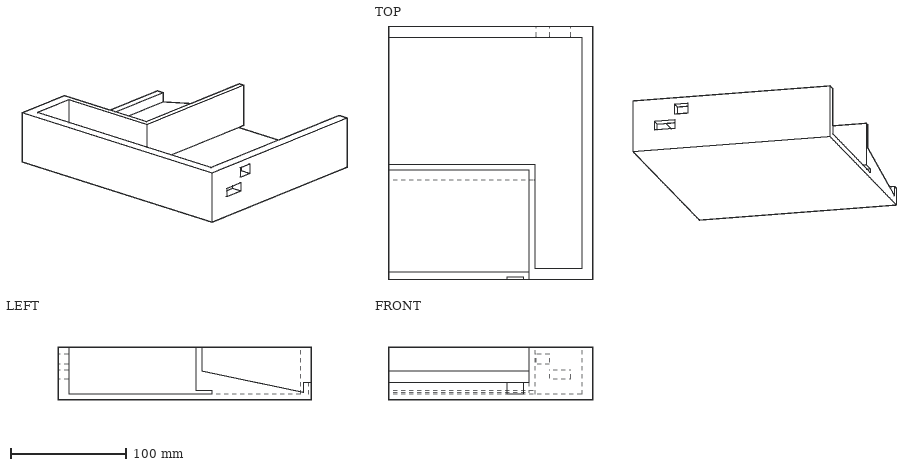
import cadquery as cq

length_x = 177.5
width_y = 220.0
height_z = 46.0

outer_wall = 9.5
floor = 5.0
cavity_end_x = length_x - outer_wall
cavity_end_y = width_y - outer_wall

tray_wall = 5.0
tray_x = 122.0
tray_y = 95.0
tray_outer_x = tray_x + tray_wall
tray_outer_y = tray_y + tray_wall
ramp_high_z = 25.0
ramp_low_z = 6.5
lip_thickness = 6.8
lip_z = 15.2

slot_height = 3.3
slot_front_y = 86.5

notch_start_x = 102.7
notch_width = 14.5
notch_depth = 2.5
notch_bottom_z = floor

upper_opening = (128.0, 31.2, 11.9, 8.8)
lower_opening = (139.7, 18.3, 18.5, 7.7)


def box_between(low, high):
    """Axis-aligned box between two opposite corners."""
    size = [end - start for start, end in zip(low, high)]
    return cq.Workplane("XY").box(*size, centered=False).translate(low)


def main_cavity():
    """L-shaped cavity, open at the top and on the left side."""
    outline = [
        (0, tray_outer_y),
        (tray_outer_x, tray_outer_y),
        (tray_outer_x, outer_wall),
        (cavity_end_x, outer_wall),
        (cavity_end_x, cavity_end_y),
        (0, cavity_end_y),
    ]
    return (
        cq.Workplane("XY", origin=(0, 0, floor))
        .polyline(outline)
        .close()
        .extrude(height_z - floor)
    )


def tray_space():
    """Space above the sloping tray and its front lip."""
    profile = [
        (0, lip_z),
        (lip_thickness, lip_z),
        (lip_thickness, ramp_low_z),
        (tray_y, ramp_high_z),
        (tray_y, height_z),
        (0, height_z),
    ]
    return cq.Workplane("YZ").polyline(profile).close().extrude(tray_x)


def under_tray_slot():
    """Slot beneath the tray, joined to the main cavity."""
    return box_between(
        (0, slot_front_y, floor),
        (tray_outer_x, tray_outer_y, floor + slot_height),
    )


def lip_notch():
    """Notch open at the front and at the top of the lip."""
    return box_between(
        (notch_start_x, 0, notch_bottom_z),
        (notch_start_x + notch_width, notch_depth, lip_z),
    )


def back_opening(start_x, bottom_z, width, height):
    """Opening through the full thickness of the back wall."""
    return box_between(
        (start_x, cavity_end_y, bottom_z),
        (start_x + width, width_y, bottom_z + height),
    )


result = (
    cq.Workplane("XY")
    .box(length_x, width_y, height_z, centered=False)
    .cut(main_cavity())
    .cut(tray_space())
    .cut(under_tray_slot())
    .cut(lip_notch())
)

for opening in (upper_opening, lower_opening):
    result = result.cut(back_opening(*opening))